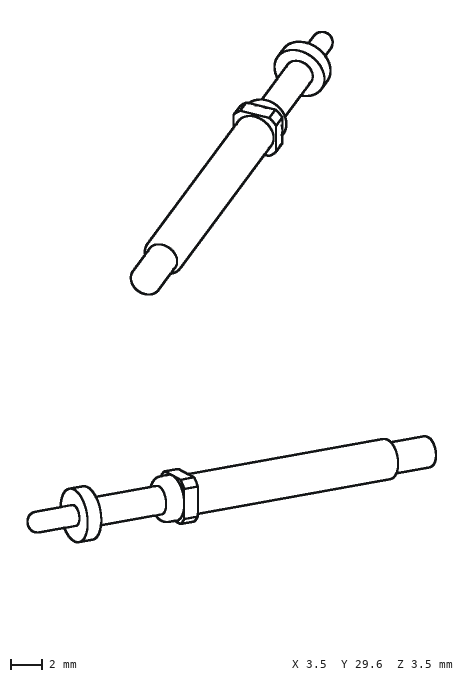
import cadquery as cq

overall_length = 29.6

pin_diameter = 1.35
flange_diameter = 3.5
stem_diameter = 1.85
collar_diameter = 3.0
body_diameter = 2.63
tail_diameter = 2.05

square_width = collar_diameter
square_corner_diameter = 3.6

tail_length = 3.0
body_length = 15.0
square_length = 1.0
collar_length = 1.0
stem_length = 5.27
flange_length = 1.0

tail_round = 0.25
body_round = 0.2
collar_round = 0.4
tip_round = 0.6

tail_end = -overall_length / 2
body_start = tail_end + tail_length
square_start = body_start + body_length
collar_start = square_start + square_length
stem_start = collar_start + collar_length
flange_start = stem_start + stem_length
pin_start = flange_start + flange_length
pin_tip = overall_length / 2


def section_at(y_start):
    """Sketch plane across the axis whose normal points along +Y."""
    return cq.Workplane("ZX", origin=(0, y_start, 0))


def cylinder(diameter, y_start, y_end):
    return section_at(y_start).circle(diameter / 2).extrude(y_end - y_start)


def wrench_square():
    square = section_at(square_start).rect(square_width, square_width).extrude(square_length)
    return square.intersect(cylinder(square_corner_diameter, square_start, collar_start))


tail = cylinder(tail_diameter, tail_end, body_start).faces("<Y").edges().fillet(tail_round)
body = cylinder(body_diameter, body_start, square_start).faces("<Y").edges().fillet(body_round)
collar = cylinder(collar_diameter, collar_start, stem_start).faces(">Y").edges().fillet(collar_round)
stem = cylinder(stem_diameter, stem_start, flange_start)
flange = cylinder(flange_diameter, flange_start, pin_start)
pin = cylinder(pin_diameter, pin_start, pin_tip).faces(">Y").edges().fillet(tip_round)

result = tail
for step in (body, wrench_square(), collar, stem, flange, pin):
    result = result.union(step)